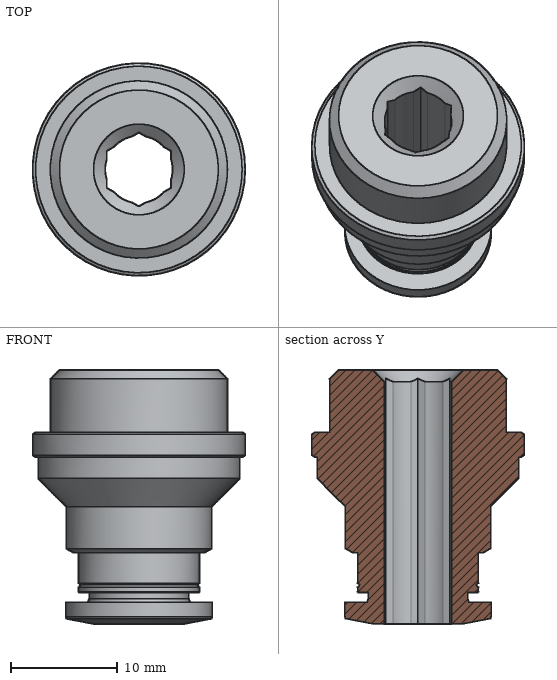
import cadquery as cq
import math

height = 23.9
head_radius = 16.65 / 2
head_chamfer = 0.85

collar_radius = 20.0 / 2
collar_edge_radius = 19.4 / 2
collar_edge_height = 0.2
collar_top = 18.05
collar_bottom = 15.68

shoulder_radius = 19.0 / 2
shoulder_bottom = 13.7
body_radius = 13.7 / 2
cone_bottom = shoulder_bottom - (shoulder_radius - body_radius)
body_bottom = 6.7
body_chamfer_height = 0.4
body_chamfer_width = body_chamfer_height * math.sqrt(3)

sleeve_radius = 11.4 / 2
groove_top = 3.85
groove_middle = 3.7
groove_bottom = 3.45
groove_depth = 0.22
sleeve_bottom = 2.96
sleeve_edge_chamfer = 0.07

neck_radius = 9.4 / 2
neck_flare_top = 2.4
neck_flare = 0.12

button_radius = 13.8 / 2
button_top = 2.05
button_edge_top = 0.67
button_edge_bottom = 0.5
button_edge_width = 0.07
button_face_radius = 4.2

bore_diameter = 6.3
hex_across_flats = 6.0
countersink_radius = 8.53 / 2


def turned_body():
    """Revolve the outer half profile, listed as (radius, z) from the top down."""
    profile = [
        (0, height),
        (head_radius - head_chamfer, height),
        (head_radius, height - head_chamfer),
        (head_radius, collar_top),
        (collar_edge_radius, collar_top),
        (collar_radius, collar_top - collar_edge_height),
        (collar_radius, collar_bottom + collar_edge_height),
        (collar_edge_radius, collar_bottom),
        (shoulder_radius, collar_bottom),
        (shoulder_radius, shoulder_bottom),
        (body_radius, cone_bottom),
        (body_radius, body_bottom + body_chamfer_height),
        (body_radius - body_chamfer_width, body_bottom),
        (sleeve_radius, body_bottom),
        (sleeve_radius, groove_top),
        (sleeve_radius - groove_depth, groove_middle),
        (sleeve_radius, groove_bottom),
        (sleeve_radius, sleeve_bottom + sleeve_edge_chamfer),
        (sleeve_radius - sleeve_edge_chamfer, sleeve_bottom),
        (neck_radius, sleeve_bottom),
        (neck_radius, neck_flare_top),
        (neck_radius + neck_flare, button_top),
        (button_radius, button_top),
        (button_radius, button_edge_top),
        (button_radius - button_edge_width, button_edge_bottom),
        (button_face_radius, 0),
        (0, 0),
    ]
    return cq.Workplane("XZ").polyline(profile).close().revolve(360, (0, 0, 0), (0, 1, 0))


def bore():
    """Hexagon with two corners on the Y axis, joined with the round hole."""
    hex_across_corners = hex_across_flats / math.cos(math.radians(30))
    hexagon = (
        cq.Workplane("XY")
        .transformed(rotate=(0, 0, 90))
        .polygon(6, hex_across_corners)
        .extrude(height)
    )
    round_hole = cq.Workplane("XY").circle(bore_diameter / 2).extrude(height)
    return hexagon.union(round_hole)


def countersink():
    """45 degree cone opening at the top face."""
    tip = (0, height - countersink_radius)
    return (
        cq.Workplane("XZ")
        .polyline([tip, (countersink_radius, height), (0, height)])
        .close()
        .revolve(360, (0, 0, 0), (0, 1, 0))
    )


result = turned_body().cut(bore()).cut(countersink())